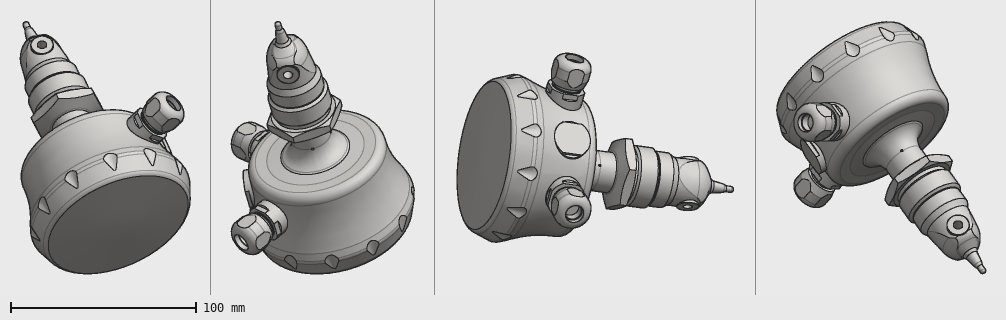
import cadquery as cq
import math


tip_radius = 1.7
tip_rounding = 1.5
tip_end_x = 4.4
cone_start_x, cone_start_radius = 6.1, 2.4
cone_end_x, cone_end_radius = 12.4, 3.45
nose_start_x, nose_start_radius = 14.2, 4.5
nose_radius = 13.1
nose_arc_start_x, nose_arc_start_radius = 17.3, 9.7
nose_arc_mid_x, nose_arc_mid_radius = 18.7, 11.7
nose_arc_end_x = 21.0
nose_edge_fillet = 3.0
selection_margin = 0.1
cheek_axis_offset = 5.6
cheek_arc_mid_x, cheek_arc_mid_reach = 18.2, 9.0
cheek_arc_end_x, cheek_arc_end_reach = 23.8, 11.4
nose_end_x = 36.6

port_x = 26.3
port_diameter = 5.0
port_boss_diameter = 12.2
port_boss_reach = 13.4
port_boss_chamfer = 0.2

seat_radius = 15.0
seat_start_x, seat_end_x = 40.2, 47.9
seat_groove_radius = 14.8
seat_groove_end_x = 48.5
collar_radius = 16.5
collar_start_x, collar_end_x = 49.8, 59.5
nut_neck_radius = 15.2
nut_neck_start_x = 60.8
nut_start_x = 63.0
shaft_radius = 11.0
shaft_end_x = 81.1

nut_across_flats = 36.3
nut_angle = 16.6
nut_front_radius = 17.8
nut_front_chamfer = 1.1
nut_cone_start_x = 67.8
nut_cone_end_x, nut_cone_end_radius = 71.3, 11.8
nut_end_x = 71.8

weep_diameter = 1.2
weep_depth = 1.5
weep_count = 4
weep_offset = 1.0
weep_x = 81.4

flare_radius = 10.9
flare_angle = math.radians(69)
flare_lip_x, flare_lip_radius = 91.9, 19.1
face_x, face_inner_radius = 92.5, 27.0
face_outer_radius = 33.3
bell_start_x, bell_start_radius = 97.8, 38.1
bell_end_x, bell_end_radius = 126.8, 44.2

lid_radius = 45.68
ridge_start_x, ridge_end_x = 130.9, 133.1
ridge_edge_radius = 45.5
lid_cone_end_x, lid_cone_end_radius = 142.0, 42.3
lid_rim_x, lid_rim_radius = 144.2, 40.3
overall_length = 145.96

notch_count = 12
notch_apex_x, notch_apex_radius = 142.4, 42.8
notch_half_angle = 30.0
notch_floor_angle = 8.0
notch_cutter_height = 14.0

gland_x = 109.2
gland_angles = (45, 135)
gland_root = 30.0
gland_diameter = 20.8
gland_across_flats = 19.0
boss_flat_start, boss_top = 43.1, 46.0
boss_ledge_height = 0.6
washer_diameter, washer_top = 16.0, 46.6
gland_neck_diameter = 14.38
cap_base, cap_base_diameter = 48.5, 18.0
cap_cylinder_start = 53.4
cap_shoulder, cap_top = 58.9, 63.4
cap_mouth_radius = 5.3
cap_bore_diameter, cap_bore_depth = 10.0, 3.0
cable_bore_diameter, cable_bore_depth = 8.87, 8.0

plug_flat_start, plug_top = 39.4, 41.5
plug_across_flats = 17.7
plug_angle = sum(gland_angles) / len(gland_angles)


def revolve_about_x(profile, axis_offset=0.0):
    """Turn an XY profile round the line y = axis_offset, parallel to X."""
    return profile.close().revolve(360, (0, axis_offset, 0), (1, axis_offset, 0))


def tip():
    profile = (
        cq.Workplane("XY")
        .lineTo(0, tip_radius - tip_rounding)
        .radiusArc((tip_rounding, tip_radius), tip_rounding)
        .lineTo(tip_end_x, tip_radius)
        .lineTo(cone_start_x, cone_start_radius)
        .lineTo(cone_end_x, cone_end_radius)
        .lineTo(nose_start_x, nose_start_radius)
        .lineTo(port_x, nose_start_radius)
        .lineTo(port_x, 0)
    )
    return revolve_about_x(profile)


def cheek(side):
    """Body whose curved face trims the nose on one side (+1 for +Y, -1 for -Y)."""
    profile = (
        cq.Workplane("XY")
        .moveTo(nose_start_x, -side * cheek_axis_offset)
        .lineTo(nose_start_x, side * nose_start_radius)
        .threePointArc(
            (cheek_arc_mid_x, side * cheek_arc_mid_reach),
            (cheek_arc_end_x, side * cheek_arc_end_reach),
        )
        .lineTo(nose_end_x, side * nose_radius)
        .lineTo(nose_end_x, -side * cheek_axis_offset)
    )
    return revolve_about_x(profile, -side * cheek_axis_offset)


def nose():
    profile = (
        cq.Workplane("XY")
        .moveTo(nose_start_x, 0)
        .lineTo(nose_start_x, nose_start_radius)
        .lineTo(nose_arc_start_x, nose_arc_start_radius)
        .threePointArc((nose_arc_mid_x, nose_arc_mid_radius), (nose_arc_end_x, nose_radius))
        .lineTo(nose_end_x, nose_radius)
        .lineTo(nose_end_x, 0)
    )
    body = revolve_about_x(profile).intersect(cheek(1)).intersect(cheek(-1))
    front_edges = cq.selectors.BoxSelector(
        (nose_start_x + selection_margin, -nose_radius, -nose_radius),
        (nose_arc_start_x - selection_margin, nose_radius, nose_radius),
    )
    body = body.edges(front_edges).fillet(nose_edge_fillet)
    boss = (
        cq.Workplane("XY", origin=(port_x, 0, -port_boss_reach))
        .circle(port_boss_diameter / 2)
        .extrude(2 * port_boss_reach)
        .faces("<Z or >Z")
        .chamfer(port_boss_chamfer)
    )
    return body.union(boss)


def cross_port():
    return (
        cq.Workplane("XY", origin=(port_x, 0, 0))
        .circle(port_diameter / 2)
        .extrude(port_boss_reach, both=True)
    )


def stem_and_housing():
    """Stem, bell housing and lid, all turned about the main axis."""
    flare_end_x = shaft_end_x + flare_radius * math.sin(flare_angle)
    flare_end_radius = shaft_radius + flare_radius * (1 - math.cos(flare_angle))
    bell_rise = bell_end_radius - bell_start_radius
    bell_length = bell_end_x - bell_start_x
    bell_arc_radius = (bell_length ** 2 + bell_rise ** 2) / (2 * bell_rise)
    profile = (
        cq.Workplane("XY")
        .moveTo(nose_end_x, 0)
        .lineTo(nose_end_x, nose_radius)
        .lineTo(seat_start_x, seat_radius)
        .lineTo(seat_end_x, seat_radius)
        .lineTo(seat_end_x, seat_groove_radius)
        .lineTo(seat_groove_end_x, seat_groove_radius)
        .lineTo(collar_start_x, collar_radius)
        .lineTo(collar_end_x, collar_radius)
        .lineTo(nut_neck_start_x, nut_neck_radius)
        .lineTo(nut_start_x, nut_neck_radius)
        .lineTo(nut_start_x, shaft_radius)
        .lineTo(shaft_end_x, shaft_radius)
        .radiusArc((flare_end_x, flare_end_radius), -flare_radius)
        .lineTo(flare_lip_x, flare_lip_radius)
        .lineTo(face_x, face_inner_radius)
        .lineTo(face_x, face_outer_radius)
        .tangentArcPoint((bell_start_x, bell_start_radius), relative=False)
        .radiusArc((bell_end_x, bell_end_radius), -bell_arc_radius)
        .lineTo(ridge_start_x, ridge_edge_radius)
        .threePointArc(
            ((ridge_start_x + ridge_end_x) / 2, lid_radius),
            (ridge_end_x, ridge_edge_radius),
        )
        .lineTo(lid_cone_end_x, lid_cone_end_radius)
        .tangentArcPoint((lid_rim_x, lid_rim_radius), relative=False)
        .lineTo(overall_length, 0)
    )
    return revolve_about_x(profile)


def hex_nut():
    corner_radius = nut_across_flats / math.sqrt(3)
    blank = (
        cq.Workplane("YZ", origin=(nut_start_x, 0, 0))
        .transformed(rotate=(0, 0, 90 + nut_angle))
        .polygon(6, 2 * corner_radius)
        .extrude(nut_end_x - nut_start_x)
    )
    chamfers = (
        cq.Workplane("XY")
        .moveTo(nut_start_x, 0)
        .lineTo(nut_start_x, nut_front_radius)
        .lineTo(nut_start_x + nut_front_chamfer, corner_radius)
        .lineTo(nut_cone_start_x, corner_radius)
        .lineTo(nut_cone_end_x, nut_cone_end_radius)
        .lineTo(nut_end_x, shaft_radius)
        .lineTo(nut_end_x, 0)
    )
    return blank.intersect(revolve_about_x(chamfers))


def weep_holes():
    hole = (
        cq.Workplane("XY", origin=(weep_x, weep_offset, shaft_radius - weep_depth))
        .circle(weep_diameter / 2)
        .extrude(2 * weep_depth)
    )
    holes = cq.Workplane("XY")
    for index in range(weep_count):
        holes = holes.add(hole.rotate((0, 0, 0), (1, 0, 0), index * 360 / weep_count))
    return holes.vals()


def grip_notches():
    """Tilted conical cutters whose points aim at the rear of the lid."""
    axis_angle = math.radians(notch_floor_angle + notch_half_angle)
    cutter = cq.Workplane(cq.Solid.makeCone(
        0,
        notch_cutter_height * math.tan(math.radians(notch_half_angle)),
        notch_cutter_height,
        cq.Vector(notch_apex_x, 0, notch_apex_radius),
        cq.Vector(-math.cos(axis_angle), 0, math.sin(axis_angle)),
    ))
    cutters = cq.Workplane("XY")
    for index in range(notch_count):
        cutters = cutters.add(cutter.rotate((0, 0, 0), (1, 0, 0), index * 360 / notch_count))
    return cutters.vals()


def cylinder(diameter, bottom, top):
    return cq.Workplane("XY", origin=(0, 0, bottom)).circle(diameter / 2).extrude(top - bottom)


def square_prism(across_flats, bottom, top):
    return cq.Workplane("XY", origin=(0, 0, bottom)).rect(across_flats, across_flats).extrude(top - bottom)


def gland_cap():
    """Gland nut with four flats, a rounded top and a tapered base, axis on Z."""
    radius = gland_diameter / 2
    crown_rise = cap_top - cap_shoulder
    crown_run = radius - cap_mouth_radius
    crown_radius = (crown_rise ** 2 + crown_run ** 2) / (2 * crown_rise)
    turned = (
        cq.Workplane("XZ")
        .moveTo(0, cap_base)
        .lineTo(cap_base_diameter / 2, cap_base)
        .lineTo(radius, cap_cylinder_start)
        .lineTo(radius, cap_shoulder)
        .radiusArc((cap_mouth_radius, cap_top), -crown_radius)
        .lineTo(0, cap_top)
        .close()
        .revolve(360, (0, 0, 0), (0, 1, 0))
    )
    cap = turned.intersect(square_prism(gland_across_flats, cap_base, cap_top))
    rim_bore = cylinder(cap_bore_diameter, cap_top - cap_bore_depth, cap_top)
    cable_bore = cylinder(cable_bore_diameter, cap_top - cable_bore_depth, cap_top)
    return cap.cut(rim_bore).cut(cable_bore)


def gland():
    """Cable gland standing on the main axis, axis on Z."""
    ledge_start = boss_flat_start - boss_ledge_height
    ledge_width = (gland_diameter - gland_across_flats) / 2
    boss = cylinder(gland_diameter, gland_root, ledge_start)
    ledge = (
        cq.Workplane("XY", origin=(0, 0, ledge_start))
        .rect(gland_diameter, gland_diameter)
        .extrude(boss_ledge_height, taper=math.degrees(math.atan2(ledge_width, boss_ledge_height)))
        .intersect(cylinder(gland_diameter, ledge_start, boss_flat_start))
    )
    flats = cylinder(gland_diameter, boss_flat_start, boss_top).intersect(
        square_prism(gland_across_flats, boss_flat_start, boss_top)
    )
    washer = cylinder(washer_diameter, boss_top, washer_top)
    neck = cylinder(gland_neck_diameter, boss_top, cap_base)
    return boss.union(ledge).union(flats).union(washer).union(neck).union(gland_cap())


def blanking_plug():
    """Round plug with two flats at its outer end, axis on Z."""
    base = cylinder(gland_diameter, gland_root, plug_flat_start)
    head = cylinder(gland_diameter, plug_flat_start, plug_top).intersect(
        cq.Workplane("XY", origin=(0, 0, plug_flat_start))
        .rect(gland_diameter, plug_across_flats)
        .extrude(plug_top - plug_flat_start)
    )
    return base.union(head)


def place_on_housing(fitting, angle):
    """Tilt a fitting from +Z towards +Y and move it along the housing."""
    return fitting.rotate((0, 0, 0), (1, 0, 0), -angle).translate((gland_x, 0, 0))


result = stem_and_housing().union(nose()).union(tip()).union(hex_nut())
for notch in grip_notches():
    result = result.cut(cq.Workplane(notch))
for weep_hole in weep_holes():
    result = result.cut(cq.Workplane(weep_hole))
for gland_angle in gland_angles:
    result = result.union(place_on_housing(gland(), gland_angle))
result = result.union(place_on_housing(blanking_plug(), plug_angle))
result = result.cut(cross_port())